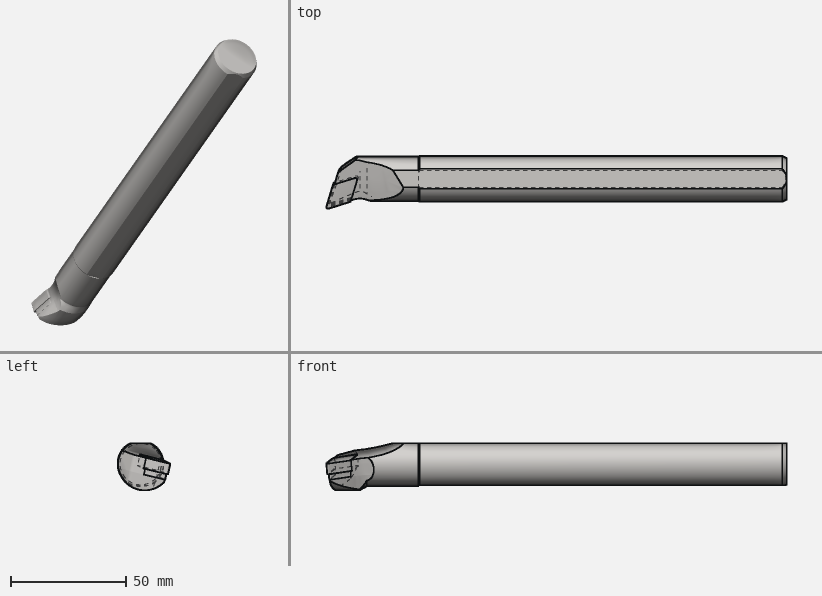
import cadquery as cq
import math

overall_length = 200.0
shank_radius = 10.0
top_flat_height = 9.0
bottom_flat_depth = 9.3
end_chamfer_length = 2.0
end_chamfer_depth = 1.0

neck_radius = 9.75
neck_end_x = 40.0
shoulder_length = 0.5

head_radius = 11.56
head_axis_y = neck_radius - head_radius
head_end_x = 14.5
head_taper_end_x = 17.5

tip_y = -13.0
rake_slope_x = 0.08
rake_slope_y = 0.22

insert_edge = 11.6
insert_angle = 55.0
insert_thickness = 4.76
nose_radius = 0.8
bisector_angle = 45.0
end_edge_angle = bisector_angle - insert_angle / 2
side_edge_angle = bisector_angle + insert_angle / 2
corner_offset = nose_radius * (1 - 1 / (math.sqrt(2) * math.sin(math.radians(insert_angle / 2))))

shim_inset = 0.45
flank_depth = 7.3

flank_inset = 0.55
flank_nose_radius = 0.8
end_flank_length = 12.3
pocket_radius = 9.0
pocket_sweep = 85.0
side_flank_length = 16.5
corner_chamfer_angle = 36.0
corner_chamfer_length = 20.0
corner_fillet = 3.0
lower_flank_taper = 5.0

chip_curve_start = -1.0
chip_curve_length = 41.0
chip_curve_lift = 6.9
chip_curve_degree = 4
chip_skew = 0.2

cut_reach = 40.0


def tilted_frame(depth=0.0):
    """Workplane parallel to the rake face, at a depth below the tip."""
    frame = cq.Plane(
        origin=(0, tip_y, 0),
        xDir=(1, 0, rake_slope_x),
        normal=(-rake_slope_x, -rake_slope_y, 1),
    )
    return cq.Workplane(frame).workplane(offset=-depth)


def step(point, angle, length):
    """Point reached from another by a length at an angle in degrees."""
    turn = math.radians(angle)
    return (point[0] + length * math.cos(turn), point[1] + length * math.sin(turn))


def inset_corner(inset):
    """Sharp corner at the tip, moved inwards by an inset from both cutting edges."""
    along = inset / math.sin(math.radians(insert_angle / 2))
    return step((corner_offset, corner_offset), bisector_angle, along)


def rhombic_prism(depth, thickness, inset):
    """Rounded rhombus standing on a plane at a depth below the tip."""
    tip = inset_corner(inset)
    edge = insert_edge - 2 * inset / math.sin(math.radians(insert_angle))
    end_corner = step(tip, end_edge_angle, edge)
    side_corner = step(tip, side_edge_angle, edge)
    far_corner = step(end_corner, side_edge_angle, edge)
    outline = tilted_frame(depth).polyline([tip, end_corner, far_corner, side_corner]).close()
    upright_edges = cq.selectors.ParallelDirSelector(cq.Vector(-rake_slope_x, -rake_slope_y, 1))
    return outline.extrude(thickness).edges(upright_edges).fillet(nose_radius)


def make_insert():
    return rhombic_prism(insert_thickness, insert_thickness, 0.0)


def make_shank():
    profile = [
        (neck_end_x, 0),
        (neck_end_x, neck_radius),
        (neck_end_x + shoulder_length, shank_radius),
        (overall_length - end_chamfer_length, shank_radius),
        (overall_length, shank_radius - end_chamfer_depth),
        (overall_length, 0),
    ]
    return cq.Workplane("XY").polyline(profile).close().revolve(360, (0, 0, 0), (1, 0, 0))


def make_head_blank():
    section = cq.Workplane("YZ")
    neck = section.workplane(offset=head_end_x).circle(neck_radius).extrude(neck_end_x - head_end_x)
    head = section.center(head_axis_y, 0).circle(head_radius).extrude(head_end_x)
    taper = (
        section.workplane(offset=head_end_x)
        .center(head_axis_y, 0)
        .circle(head_radius)
        .workplane(offset=head_taper_end_x - head_end_x)
        .center(-head_axis_y, 0)
        .circle(neck_radius)
        .loft()
    )
    return head.union(taper).union(neck)


def flank_outline(workplane):
    """Outline of the head seen square to the rake face, open towards the shank."""
    tip = inset_corner(flank_inset)
    nose_tangent = flank_nose_radius / math.tan(math.radians(insert_angle / 2))
    nose_center = step(tip, bisector_angle, flank_nose_radius / math.sin(math.radians(insert_angle / 2)))
    pocket_start = step(tip, end_edge_angle, end_flank_length)
    pocket_center = step(pocket_start, end_edge_angle - 90, pocket_radius)
    pocket_middle = step(pocket_center, end_edge_angle + 90 - pocket_sweep / 2, pocket_radius)
    pocket_end = step(pocket_center, end_edge_angle + 90 - pocket_sweep, pocket_radius)

    turn = side_edge_angle - corner_chamfer_angle
    fillet_tangent = corner_fillet * math.tan(math.radians(turn / 2))
    side_corner = step(tip, side_edge_angle, side_flank_length)
    fillet_start = step(side_corner, side_edge_angle, -fillet_tangent)
    fillet_end = step(side_corner, corner_chamfer_angle, fillet_tangent)
    fillet_center = step(fillet_start, side_edge_angle - 90, corner_fillet)
    fillet_middle = step(fillet_center, (side_edge_angle + corner_chamfer_angle) / 2 + 90, corner_fillet)
    chamfer_end = step(side_corner, corner_chamfer_angle, corner_chamfer_length)
    return (
        workplane.moveTo(*step(tip, end_edge_angle, nose_tangent))
        .lineTo(*pocket_start)
        .threePointArc(pocket_middle, pocket_end)
        .lineTo(pocket_end[0] + cut_reach, pocket_end[1])
        .lineTo(pocket_end[0] + cut_reach, chamfer_end[1])
        .lineTo(*chamfer_end)
        .lineTo(*fillet_end)
        .threePointArc(fillet_middle, fillet_start)
        .lineTo(*step(tip, side_edge_angle, nose_tangent))
        .threePointArc(
            step(nose_center, bisector_angle + 180, flank_nose_radius),
            step(tip, end_edge_angle, nose_tangent),
        )
        .close()
    )


def make_flank_envelope():
    """Upper flanks square to the rake face and lower flanks that taper inwards below them."""
    upper = flank_outline(tilted_frame(flank_depth)).extrude(cut_reach)
    lower = flank_outline(tilted_frame(flank_depth)).extrude(-cut_reach / 2, taper=lower_flank_taper)
    return upper.union(lower)


def make_chip_cut():
    """Space above the chip face, which follows a curve swept along skewed straight rulings."""
    ruling = cq.Vector(-chip_skew, 1, rake_slope_y - chip_skew * rake_slope_x)
    run = cq.Vector(1, 0, rake_slope_x)
    up = cq.Vector(0, 0, 1)
    start = cq.Vector(chip_curve_start, tip_y, chip_curve_start * rake_slope_x) - ruling * (cut_reach / 2)

    controls = [start + run * (chip_curve_length * i / chip_curve_degree) for i in range(chip_curve_degree)]
    end = start + run * chip_curve_length + up * chip_curve_lift
    top_start = start + up * cut_reach
    top_end = end + up * (cut_reach - chip_curve_lift)
    outline = cq.Wire.assembleEdges([
        cq.Edge.makeBezier([*controls, end]),
        cq.Edge.makeLine(end, top_end),
        cq.Edge.makeLine(top_end, top_start),
        cq.Edge.makeLine(top_start, start),
    ])
    return cq.Workplane(cq.Solid.extrudeLinear(outline, [], ruling * (2 * cut_reach)))


def make_holder():
    shim = rhombic_prism(flank_depth, flank_depth - insert_thickness, shim_inset)
    insert_space = rhombic_prism(insert_thickness, cut_reach, 0.0)
    head = make_head_blank().intersect(make_flank_envelope())
    holder = head.union(make_shank()).cut(make_chip_cut())
    flat_space = cq.Workplane("XY").box(
        overall_length, 4 * shank_radius, shank_radius, centered=(False, True, False)
    )
    holder = holder.cut(flat_space.translate((0, 0, top_flat_height)))
    holder = holder.cut(flat_space.translate((neck_end_x, 0, -bottom_flat_depth - shank_radius)))
    return holder.union(shim).cut(insert_space)


insert = make_insert()
holder = make_holder()

result = cq.Compound.makeCompound([holder.val(), insert.val()])